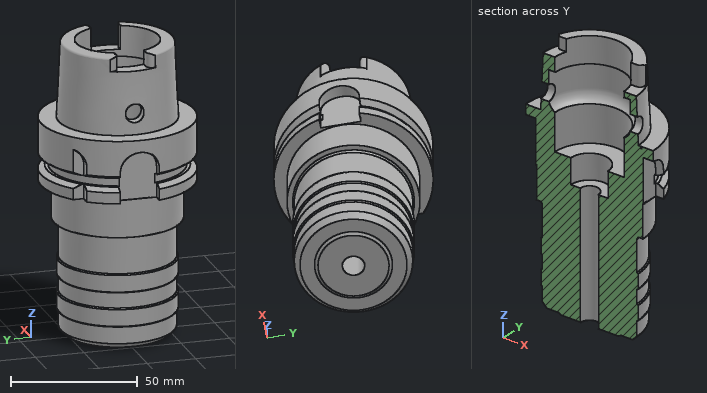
import cadquery as cq
import math

TOP_Z = 122.0
FLANGE_TOP_Z = 90.0
GROOVE_MID_Z = 72.0
FLANGE_BOTTOM_Z = 64.0
HUB_BOTTOM_Z = 48.2

FLANGE_R = 31.5
GROOVE_R = 27.5
HUB_R = 26.2
SHANK_R = 23.4
RING_R = 24.0
TAPER_BASE_R = 24.2
TAPER_TOP_R = 22.7
RIM_FILLET = 1.2

GROOVE_FLOOR_WIDTH = 3.7
GROOVE_MOUTH_WIDTH = 6.7
GROOVE_SLOPE = math.radians(60)

COLLAR_HEIGHT = 1.0
RING_TOPS = (32.2, 17.9)
RING_HEIGHT = 7.9
RING_BEVEL = 0.5
END_FACE_Z = 0.7
END_CHAMFER = 2.3
PAD_BASE_R = 15.4
PAD_TIP_R = 14.0

MOUTH_R = 17.0
UNDERCUT_R = 20.0
UNDERCUT_ROUND = 6.1
MOUTH_DEPTH = 12.8
UNDERCUT_FLOOR_Z = 90.3
CAVITY_FLOOR_Z = 73.2
SOCKET_R = 9.0
SOCKET_FLOOR_Z = 61.0
COOLANT_R = 4.4

RIM_SLOT_WIDTH = 12.1
RIM_SLOT_ROUND = 2.3
LEFT_SLOT_DEPTH = 5.9
RIGHT_SLOT_DEPTH = 10.0

CROSS_HOLE_R = 3.8
CROSS_HOLE_Z = 98.8

KEYWAY_WIDTH = 16.1
KEYWAY_FLOOR_X = 26.5
KEYWAY_TOP_Z = 85.0
NOTCH_INSET = 20.0
NOTCH_R = 7.1
NOTCH_ARC_Z = 78.5


def revolve_outline(points):
    """Revolve an (r, z) outline around the Z axis."""
    return cq.Workplane("XZ").polyline(points).close().revolve(360, (0, 0, 0), (0, 1, 0))


def make_shank():
    """Stepped shank from the end pad up to the hub, with two raised rings."""
    points = [
        (0, 0),
        (PAD_TIP_R, 0),
        (PAD_BASE_R, END_FACE_Z),
        (SHANK_R - END_CHAMFER, END_FACE_Z),
        (SHANK_R, END_FACE_Z + END_CHAMFER),
    ]
    for ring_top in sorted(RING_TOPS):
        ring_bottom = ring_top - RING_HEIGHT
        points += [
            (SHANK_R, ring_bottom),
            (RING_R, ring_bottom + RING_BEVEL),
            (RING_R, ring_top - RING_BEVEL),
            (SHANK_R, ring_top),
        ]
    points += [
        (SHANK_R, HUB_BOTTOM_Z - COLLAR_HEIGHT),
        (RING_R, HUB_BOTTOM_Z),
        (HUB_R, HUB_BOTTOM_Z),
        (HUB_R, FLANGE_BOTTOM_Z),
        (0, FLANGE_BOTTOM_Z),
    ]
    return revolve_outline(points)


def make_flange():
    """Flange with the gripper groove around it."""
    half_floor = GROOVE_FLOOR_WIDTH / 2
    half_mouth = GROOVE_MOUTH_WIDTH / 2
    slope_foot_r = FLANGE_R - (half_mouth - half_floor) * math.tan(GROOVE_SLOPE)
    return revolve_outline([
        (0, FLANGE_BOTTOM_Z),
        (FLANGE_R, FLANGE_BOTTOM_Z),
        (FLANGE_R, GROOVE_MID_Z - half_mouth),
        (slope_foot_r, GROOVE_MID_Z - half_floor),
        (GROOVE_R, GROOVE_MID_Z - half_floor),
        (GROOVE_R, GROOVE_MID_Z + half_floor),
        (slope_foot_r, GROOVE_MID_Z + half_floor),
        (FLANGE_R, GROOVE_MID_Z + half_mouth),
        (FLANGE_R, FLANGE_TOP_Z),
        (0, FLANGE_TOP_Z),
    ])


def make_taper():
    """Solid taper with a rounded rim."""
    taper = revolve_outline([
        (0, FLANGE_TOP_Z),
        (TAPER_BASE_R, FLANGE_TOP_Z),
        (TAPER_TOP_R, TOP_Z),
        (0, TOP_Z),
    ])
    return taper.faces(">Z").edges().fillet(RIM_FILLET)


def make_bores():
    """Cavity of the taper, socket in its floor and coolant hole right through."""
    return revolve_outline([
        (0, 0),
        (COOLANT_R, 0),
        (COOLANT_R, SOCKET_FLOOR_Z),
        (SOCKET_R, SOCKET_FLOOR_Z),
        (SOCKET_R, CAVITY_FLOOR_Z),
        (MOUTH_R, CAVITY_FLOOR_Z),
        (MOUTH_R, TOP_Z),
        (0, TOP_Z),
    ])


def make_undercut():
    """Wider stretch of the cavity below its mouth, with a rounded bottom corner."""
    height = TOP_Z - MOUTH_DEPTH - UNDERCUT_FLOOR_Z
    undercut = cq.Workplane("XY", origin=(0, 0, UNDERCUT_FLOOR_Z)).circle(UNDERCUT_R).extrude(height)
    return undercut.faces("<Z").edges().fillet(UNDERCUT_ROUND)


def make_rim_slot(depth):
    """Slot through the +X side of the rim, its outer corners rounded into the taper."""
    half = RIM_SLOT_WIDTH / 2
    center_y = half + RIM_SLOT_ROUND
    center_x = math.sqrt((TAPER_TOP_R - RIM_SLOT_ROUND) ** 2 - center_y ** 2)
    radial_angle = math.atan2(center_y, center_x)
    mid_angle = (radial_angle - math.pi / 2) / 2

    def on_round(angle):
        return (center_x + RIM_SLOT_ROUND * math.cos(angle),
                center_y + RIM_SLOT_ROUND * math.sin(angle))

    mid_x, mid_y = on_round(mid_angle)
    end_x, end_y = on_round(radial_angle)
    return (
        cq.Workplane("XY", origin=(0, 0, TOP_Z - depth))
        .moveTo(0, -half)
        .lineTo(center_x, -half)
        .threePointArc((mid_x, -mid_y), (end_x, -end_y))
        .lineTo(FLANGE_R, -end_y)
        .lineTo(FLANGE_R, end_y)
        .lineTo(end_x, end_y)
        .threePointArc((mid_x, mid_y), (center_x, half))
        .lineTo(0, half)
        .close()
        .extrude(depth)
    )


def draw_arched_outline(half_width, center_y, arc_z):
    """Round-topped slot outline on the -X side, open at the underside of the flange."""
    return (
        cq.Workplane("YZ", origin=(-FLANGE_R, 0, 0))
        .moveTo(center_y - half_width, FLANGE_BOTTOM_Z)
        .lineTo(center_y - half_width, arc_z)
        .threePointArc((center_y, arc_z + half_width), (center_y + half_width, arc_z))
        .lineTo(center_y + half_width, FLANGE_BOTTOM_Z)
        .close()
    )


def make_keyway():
    """Keyway in the -X side of the flange."""
    half = KEYWAY_WIDTH / 2
    return draw_arched_outline(half, 0, KEYWAY_TOP_Z - half).extrude(FLANGE_R - KEYWAY_FLOOR_X)


def make_notch():
    """Orientation notch in the flange between the -X and +Y sides."""
    outline = draw_arched_outline(NOTCH_R, NOTCH_INSET + NOTCH_R, NOTCH_ARC_Z)
    return outline.extrude(FLANGE_R - NOTCH_INSET)


def half_turn(shape):
    """Turn a shape to the opposite side of the axis."""
    return shape.rotate((0, 0, 0), (0, 0, 1), 180)


cross_hole = (
    cq.Workplane("YZ", origin=(0, 0, CROSS_HOLE_Z))
    .circle(CROSS_HOLE_R)
    .extrude(FLANGE_R, both=True)
)

result = (
    make_shank()
    .union(make_flange())
    .union(make_taper())
    .cut(make_bores())
    .cut(make_undercut())
    .cut(make_rim_slot(RIGHT_SLOT_DEPTH))
    .cut(half_turn(make_rim_slot(LEFT_SLOT_DEPTH)))
    .cut(cross_hole)
    .cut(make_keyway())
    .cut(half_turn(make_keyway()))
    .cut(make_notch())
)